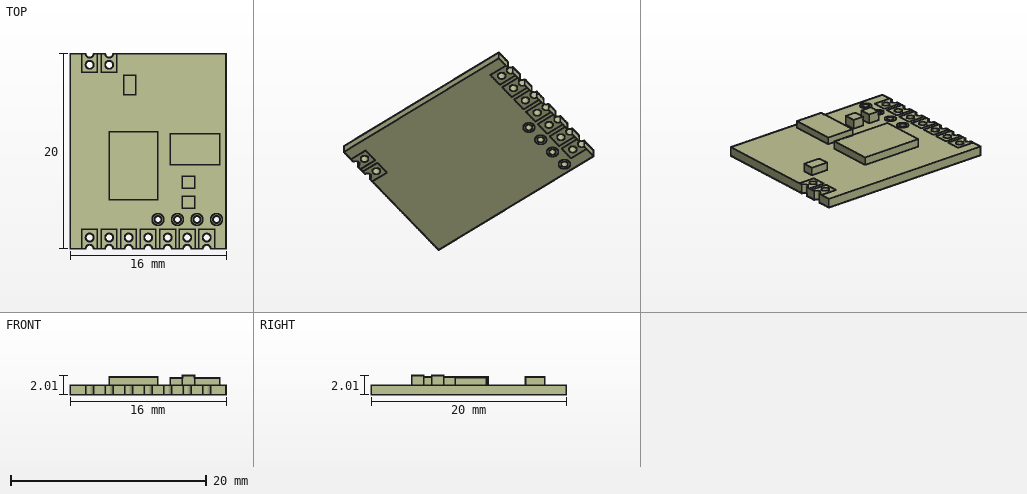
import cadquery as cq

board_width = 16.0
board_length = 20.0
board_thickness = 1.0
copper_thickness = 0.01

pad_pitch = 2.0
first_pad_x = 2.0
pad_width = 1.6
front_pad_length = 2.0
rear_pad_length = 1.9
front_pad_count = 7
rear_pad_count = 2
pad_hole_diameter = 0.8
pad_hole_inset = 1.15

ring_count = 4
first_ring_x = 9.0
ring_y = 3.0
ring_diameter = 1.2
ring_hole_diameter = 0.7

chip_width = 1.25
main_chip = (4.0, 5.0, 5.0, 7.0, 0.85)
side_chip = (10.25, 8.6, 5.1, 3.2, 0.75)
rear_chip = (5.5, 15.8, chip_width, 2.0, 0.85)
inner_square_chip = (11.5, 6.2, chip_width, chip_width, 1.0)
outer_square_chip = (11.5, 4.15, chip_width, chip_width, 1.0)
components = (main_chip, side_chip, rear_chip, inner_square_chip, outer_square_chip)

stack_bottom = -copper_thickness
stack_height = board_thickness + 2 * copper_thickness


def box_at(x, y, z, width, length, height):
    """Box whose lowest corner is at (x, y, z)."""
    return cq.Workplane("XY").box(width, length, height, centered=False).translate((x, y, z))


def stack_cylinder(x, y, diameter):
    """Upright cylinder spanning the board and its copper."""
    return cq.Workplane("XY", origin=(x, y, stack_bottom)).circle(diameter / 2).extrude(stack_height)


def row_positions(first_x, count):
    """X positions of a row on the common pad pitch."""
    return [first_x + i * pad_pitch for i in range(count)]


def add_edge_pads(body, count, edge_y, inward, pad_length):
    """Add a row of pads along a board edge; inward is the Y direction into the board."""
    pad_y = min(edge_y, edge_y + inward * pad_length)
    hole_y = edge_y + inward * pad_hole_inset
    for x in row_positions(first_pad_x, count):
        pad = box_at(x - pad_width / 2, pad_y, stack_bottom, pad_width, pad_length, stack_height)
        body = body.union(pad)
        body = body.cut(stack_cylinder(x, hole_y, pad_hole_diameter))
        body = body.cut(stack_cylinder(x, edge_y, pad_hole_diameter))
    return body


def add_ring_pads(body):
    """Add the row of round pads with their through holes."""
    for x in row_positions(first_ring_x, ring_count):
        body = body.union(stack_cylinder(x, ring_y, ring_diameter))
        body = body.cut(stack_cylinder(x, ring_y, ring_hole_diameter))
    return body


def add_components(body):
    """Place the rectangular components on the top of the board."""
    for x, y, width, length, height in components:
        body = body.union(box_at(x, y, board_thickness, width, length, height))
    return body


board = box_at(0, 0, 0, board_width, board_length, board_thickness)
board = add_edge_pads(board, front_pad_count, 0, 1, front_pad_length)
board = add_edge_pads(board, rear_pad_count, board_length, -1, rear_pad_length)
board = add_ring_pads(board)
result = add_components(board)